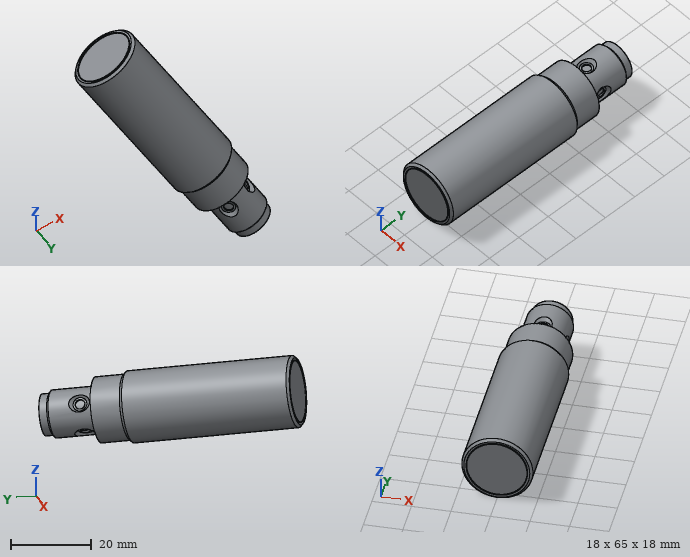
import cadquery as cq

total_length = 65.0
tail_length = 2.0
neck_end = 14.0
collar_end = 21.45

body_diameter = 18.0
collar_diameter = 16.5
neck_diameter = 12.0
tail_diameter = 10.5

face_chamfer = 0.65
body_rear_chamfer_length = 0.8
neck_chamfer_length = 0.6

face_disc_diameter = 15.3
groove_width = 0.1
groove_depth = 0.2

pocket_count = 4
pocket_from_rear = 10.5
countersink_radius = 2.65
countersink_floor_radius = 1.75
pilot_radius = 1.25
pilot_depth = 0.3

face_y = -total_length / 2
rear_y = total_length / 2


def barrel():
    """Solid of revolution with the stepped, chamfered outline."""
    body_radius = body_diameter / 2
    collar_radius = collar_diameter / 2
    neck_radius = neck_diameter / 2
    tail_radius = tail_diameter / 2
    body_rear_y = rear_y - collar_end
    neck_front_y = rear_y - neck_end
    neck_rear_y = rear_y - tail_length
    outline = [
        (0, face_y),
        (body_radius - face_chamfer, face_y),
        (body_radius, face_y + face_chamfer),
        (body_radius, body_rear_y - body_rear_chamfer_length),
        (collar_radius, body_rear_y),
        (collar_radius, neck_front_y),
        (neck_radius, neck_front_y),
        (neck_radius, neck_rear_y - neck_chamfer_length),
        (tail_radius, neck_rear_y),
        (tail_radius, rear_y),
        (0, rear_y),
    ]
    return cq.Workplane("XY").polyline(outline).close().revolve(360, (0, 0), (0, 1))


def face_groove():
    """Ring cut into the sensing face, leaving a central disc."""
    disc_radius = face_disc_diameter / 2
    return (
        cq.Workplane("XZ", origin=(0, face_y, 0))
        .circle(disc_radius + groove_width)
        .circle(disc_radius)
        .extrude(-groove_depth)
    )


def neck_pocket():
    """Cutter for one pocket opening toward +Z: 45 degree countersink and a pilot hole down to the core."""
    neck_radius = neck_diameter / 2
    clearance = 0.65
    countersink_floor = neck_radius - (countersink_radius - countersink_floor_radius)
    core_radius = countersink_floor - pilot_depth
    pilot_start = core_radius - clearance
    profile = [
        (0, pilot_start),
        (pilot_radius, pilot_start),
        (pilot_radius, countersink_floor),
        (countersink_floor_radius, countersink_floor),
        (countersink_radius + clearance, neck_radius + clearance),
        (0, neck_radius + clearance),
    ]
    cutter = cq.Workplane("XZ").polyline(profile).close().revolve(360, (0, 0), (0, 1))
    core = cq.Workplane("XZ").circle(core_radius).extrude(neck_radius, both=True)
    return cutter.cut(core).translate((0, rear_y - pocket_from_rear, 0))


result = barrel().cut(face_groove())
for index in range(pocket_count):
    angle = index * 360 / pocket_count
    result = result.cut(neck_pocket().rotate((0, 0, 0), (0, 1, 0), angle))